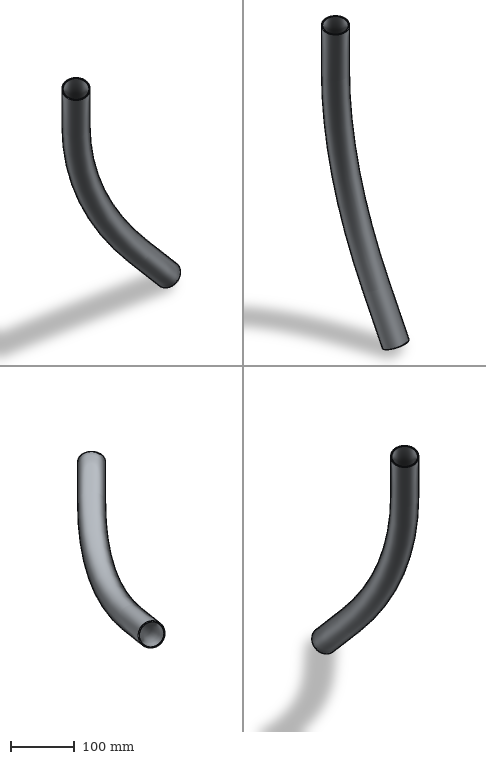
import cadquery as cq
import math

outer_diameter = 44.0
inner_diameter = 40.0
straight_length = 100.0
bend_radius = 768.0
bend_angle = 30.0


def bend_point(angle):
    """Centreline (Y, Z) point reached after bending through the given angle in degrees."""
    turn = math.radians(angle)
    return (
        bend_radius * (1 - math.cos(turn)),
        -straight_length - bend_radius * math.sin(turn),
    )


bend_start = bend_point(0)
bend_middle = bend_point(bend_angle / 2)
bend_end = bend_point(bend_angle)
slope = math.radians(bend_angle)
lower_end = (
    bend_end[0] + straight_length * math.sin(slope),
    bend_end[1] - straight_length * math.cos(slope),
)
centreline = (
    cq.Workplane("YZ")
    .moveTo(0, 0)
    .lineTo(*bend_start)
    .threePointArc(bend_middle, bend_end)
    .lineTo(*lower_end)
)

result = (
    cq.Workplane("XY")
    .circle(outer_diameter / 2)
    .circle(inner_diameter / 2)
    .sweep(centreline)
)